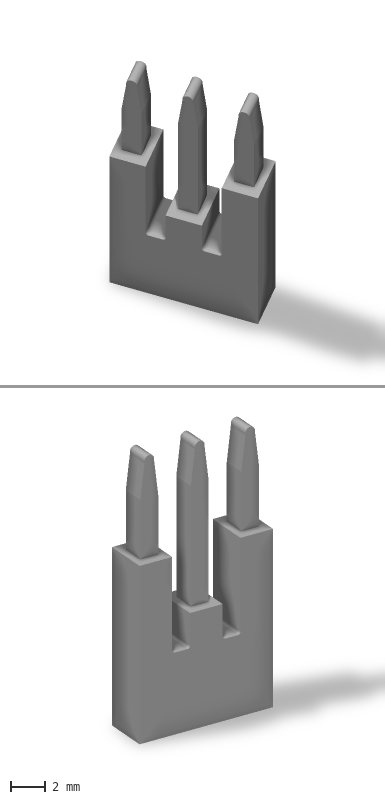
import cadquery as cq

pitch = 3.5
post_width = 2.25
width = 2 * pitch + post_width
depth = 3.0
outer_post_top = 11.58
middle_post_top = 7.6
slot_floor = 5.31
slot_width = pitch - post_width
slot_corner_radius = 0.18

pin_top = 18.2
pin_width = 1.24
pin_depth = 1.58
taper_length = 2.77
tip_width = 0.67
tip_radius = tip_width / 2
tip_shoulder_drop = 0.47


def box_on(z_bottom, z_top, x_center, x_size, y_size):
    """Box centred on the depth axis, between two heights."""
    height = z_top - z_bottom
    return cq.Workplane("XY").box(x_size, y_size, height, centered=(True, True, False)).translate(
        (x_center, 0, z_bottom)
    )


def make_housing():
    housing = box_on(0, outer_post_top, 0, width, depth)
    for side in (-1, 1):
        slot = box_on(slot_floor, outer_post_top, side * pitch / 2, slot_width, depth)
        housing = housing.cut(slot.edges("|Y and <Z").fillet(slot_corner_radius))
    above_middle = box_on(middle_post_top, outer_post_top, 0, post_width + slot_width, depth)
    return housing.cut(above_middle)


def make_pin(x_center, z_bottom):
    """Pin standing on its post, with its rounded tip at pin_top."""
    half_pin = pin_width / 2
    shoulder = pin_top - tip_shoulder_drop
    arc_start = pin_top - tip_radius
    taper_start = pin_top - taper_length
    return (
        cq.Workplane("XZ")
        .moveTo(-half_pin, z_bottom)
        .lineTo(half_pin, z_bottom)
        .lineTo(half_pin, taper_start)
        .lineTo(tip_radius, shoulder)
        .lineTo(tip_radius, arc_start)
        .radiusArc((0, pin_top), -tip_radius)
        .radiusArc((-tip_radius, arc_start), -tip_radius)
        .lineTo(-tip_radius, shoulder)
        .lineTo(-half_pin, taper_start)
        .close()
        .extrude(pin_depth / 2, both=True)
        .translate((x_center, 0, 0))
    )


result = make_housing()
for x_center, post_top in ((-pitch, outer_post_top), (0, middle_post_top), (pitch, outer_post_top)):
    result = result.union(make_pin(x_center, post_top))